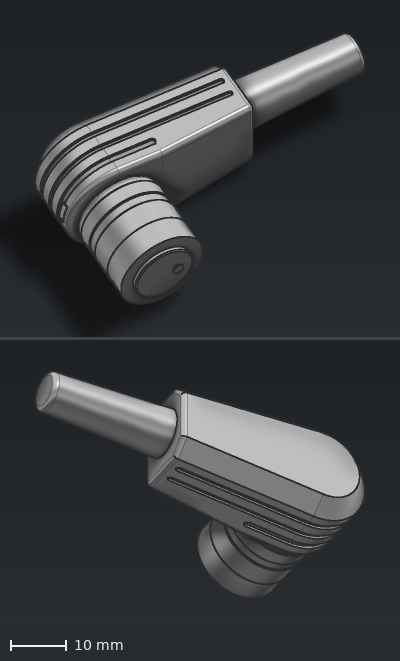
import cadquery as cq
import math


shell_width = 15.05
nose_radius = 9.95
side_taper = 4.0
cable_end_y = 29.45
back_chamfer_depth = 3.15
back_chamfer_inset = 2.95
front_bend_y = 9.5
front_slope = 4.9
front_round = 1.15
front_rim_start_x = 12.85
cable_end_round = 0.9

groove_depth = 0.6
long_groove_end_y = 27.6
short_groove_end_y = 9.95
grip_grooves = [
    (5.0, 6.05, long_groove_end_y),
    (8.15, 9.1, long_groove_end_y),
    (11.05, 12.4, short_groove_end_y),
]

pad_start_x = 12.15
pad_end_x = 13.45
pad_half_height = 4.0
pad_radius = 10.1

boot_axis_x = 6.75
boot_tip_y = 54.2
boot_tip_diameter = 7.7
boot_base_diameter = 9.45
boot_tip_round = 0.95

neck_diameter = 15.0
insert_diameter = 11.8
insert_end_x = 32.35
insert_chamfer = 0.25
key_end_x = 32.65
key_diameter = 1.9
key_y = 2.7

nut_start_x = 15.3
nut_ring_start_x = 17.2
nut_ring_end_x = 20.0
nut_grip_start_x = 22.05
nut_grip_end_x = 26.55
nut_end_x = 31.4
nut_waist_diameter = 16.6
nut_ring_diameter = 17.0
nut_sleeve_diameter = 16.9
nut_step_length = 0.2
nut_collar_round = 0.8


def shell_outline(inset):
    """Solid teardrop in YZ, moved inwards by inset and extruded over the shell width."""
    radius = nose_radius - inset
    lean = math.radians(side_taper)
    tangent_y = radius * math.sin(lean)
    tangent_z = radius * math.cos(lean)
    end_z = tangent_z - (cable_end_y - tangent_y) * math.tan(lean)
    return (
        cq.Workplane("YZ")
        .moveTo(cable_end_y, end_z)
        .lineTo(tangent_y, tangent_z)
        .threePointArc((-radius, 0), (tangent_y, -tangent_z))
        .lineTo(cable_end_y, -end_z)
        .close()
        .extrude(shell_width)
    )


def front_relief():
    """Wedge that slopes the front face back towards the cable end."""
    setback = (cable_end_y - front_bend_y) * math.tan(math.radians(front_slope))
    return (
        cq.Workplane("XY")
        .moveTo(shell_width, front_bend_y)
        .lineTo(shell_width, cable_end_y)
        .lineTo(shell_width - setback, cable_end_y)
        .close()
        .extrude(nose_radius, both=True)
    )


def make_shell():
    shell = shell_outline(0)
    shell = shell.faces("<X").edges("not >Y").chamfer(back_chamfer_depth, back_chamfer_inset)
    shell = shell.cut(front_relief())
    rim = cq.selectors.BoxSelector(
        (front_rim_start_x, -nose_radius, -nose_radius),
        (shell_width, cable_end_y - cable_end_round, nose_radius),
    )
    shell = shell.edges(rim).edges("not |Z").fillet(front_round)
    return shell.faces(">Y").edges().fillet(cable_end_round)


def groove_cutter(start_x, end_x, end_y):
    """Band outside the groove floor that stops in a half round at end_y."""
    half_width = (end_x - start_x) / 2
    band = (
        cq.Workplane("XY")
        .moveTo(start_x, -2 * nose_radius)
        .lineTo(start_x, end_y - half_width)
        .threePointArc((start_x + half_width, end_y), (end_x, end_y - half_width))
        .lineTo(end_x, -2 * nose_radius)
        .close()
        .extrude(2 * nose_radius, both=True)
    )
    return band.cut(shell_outline(groove_depth))


def make_boot():
    """Tapered cable sleeve that stands on the cable end of the shell."""
    return (
        cq.Workplane("XZ", origin=(boot_axis_x, cable_end_y, 0))
        .circle(boot_base_diameter / 2)
        .workplane(offset=cable_end_y - boot_tip_y)
        .circle(boot_tip_diameter / 2)
        .loft()
        .faces(">Y")
        .edges()
        .fillet(boot_tip_round)
    )


def x_cylinder(diameter, start_x, end_x, y=0):
    return cq.Workplane("YZ", origin=(start_x, y, 0)).circle(diameter / 2).extrude(end_x - start_x)


def pad_half(radius, bottom_z):
    """Half of the marker pad: a slice of a cylinder about the outlet axis, on the -Y side."""
    width = pad_end_x - pad_start_x
    window = (
        cq.Workplane("XY", origin=(pad_start_x, -radius, bottom_z))
        .box(width, radius, pad_half_height, centered=False)
    )
    return x_cylinder(2 * radius, pad_start_x, pad_end_x).intersect(window)


def make_outlet():
    """Neck, contact insert through the nut, and key pin on the end of the insert."""
    neck = x_cylinder(neck_diameter, shell_width - front_round, nut_start_x)
    insert = x_cylinder(insert_diameter, nut_start_x, insert_end_x).faces(">X").chamfer(insert_chamfer)
    key = x_cylinder(key_diameter, insert_end_x, key_end_x, key_y)
    return neck.union(insert).union(key)


def make_housing():
    housing = make_shell()
    for start_x, end_x, end_y in grip_grooves:
        housing = housing.cut(groove_cutter(start_x, end_x, end_y))
    housing = housing.union(pad_half(pad_radius, 0))
    housing = housing.union(pad_half(nose_radius, -pad_half_height))
    return housing.union(make_boot()).union(make_outlet())


def make_nut():
    """Turned profile swept about the outlet axis, bored to fit the contact insert."""
    bore_radius = insert_diameter / 2
    waist_radius = nut_waist_diameter / 2
    ring_radius = nut_ring_diameter / 2
    sleeve_radius = nut_sleeve_diameter / 2
    nut = (
        cq.Workplane("XY")
        .moveTo(nut_start_x, bore_radius)
        .lineTo(nut_start_x, waist_radius)
        .lineTo(nut_ring_start_x - nut_step_length, waist_radius)
        .lineTo(nut_ring_start_x, ring_radius)
        .lineTo(nut_ring_end_x, ring_radius)
        .lineTo(nut_ring_end_x + nut_step_length, waist_radius)
        .lineTo(nut_grip_start_x - nut_step_length, waist_radius)
        .lineTo(nut_grip_start_x, ring_radius)
        .lineTo(nut_grip_end_x, ring_radius)
        .lineTo(nut_grip_end_x, sleeve_radius)
        .lineTo(nut_end_x, sleeve_radius)
        .lineTo(nut_end_x, bore_radius)
        .close()
        .revolve(360, (0, 0, 0), (1, 0, 0))
    )
    outer_start_edge = cq.selectors.RadiusNthSelector(-1)
    return nut.faces("<X").edges(outer_start_edge).fillet(nut_collar_round)


housing = make_housing()
coupling_nut = make_nut()

result = cq.Compound.makeCompound([housing.val(), coupling_nut.val()])